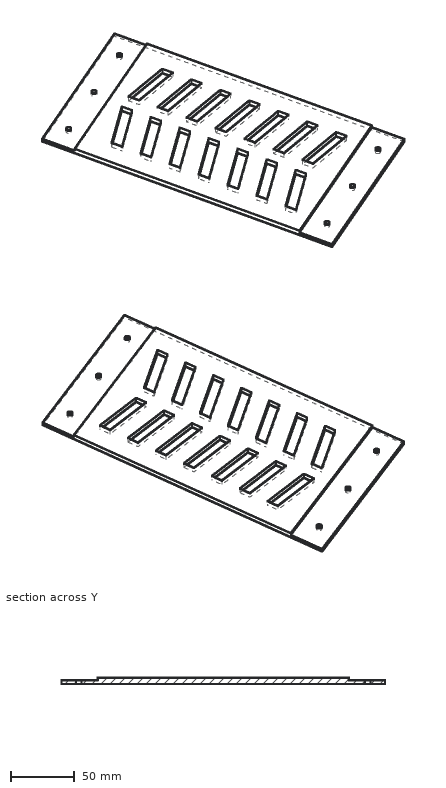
import cadquery as cq
import math

length = 254.0
width = 126.7
thickness = 5.0

flange_length = 28.5
flange_thickness = 3.0

hole_diameter = 4.0
hole_x = 113.3
hole_pitch_y = 44.5

slot_count = 7
slot_pitch = 25.5
slot_width = 9.1
slot_inner_y = 6.0
slot_outer_y = 44.5
slot_angle = 15.0
slot_lean = (slot_outer_y - slot_inner_y) * math.tan(math.radians(slot_angle))


def make_plate():
    """Full-length base with a raised panel between the flanges."""
    base = cq.Workplane("XY").box(length, width, flange_thickness, centered=(True, True, False))
    panel_length = length - 2 * flange_length
    panel = cq.Workplane("XY").box(panel_length, width, thickness, centered=(True, True, False))
    return base.union(panel)


def make_slot(center_x, side):
    """Parallelogram cutter; side is +1 for the +Y row and -1 for the -Y row."""
    inner_left = center_x - (slot_width + slot_lean) / 2
    outer_left = inner_left + slot_lean
    outline = [
        (inner_left, side * slot_inner_y),
        (inner_left + slot_width, side * slot_inner_y),
        (outer_left + slot_width, side * slot_outer_y),
        (outer_left, side * slot_outer_y),
    ]
    return cq.Workplane("XY").polyline(outline).close().extrude(thickness)


def make_holes():
    """Three through holes in each flange."""
    centers = [(x, row * hole_pitch_y) for x in (-hole_x, hole_x) for row in (-1, 0, 1)]
    return cq.Workplane("XY").pushPoints(centers).circle(hole_diameter / 2).extrude(thickness)


result = make_plate().cut(make_holes())
for index in range(slot_count):
    slot_x = (index - (slot_count - 1) / 2) * slot_pitch
    for side in (1, -1):
        result = result.cut(make_slot(slot_x, side))